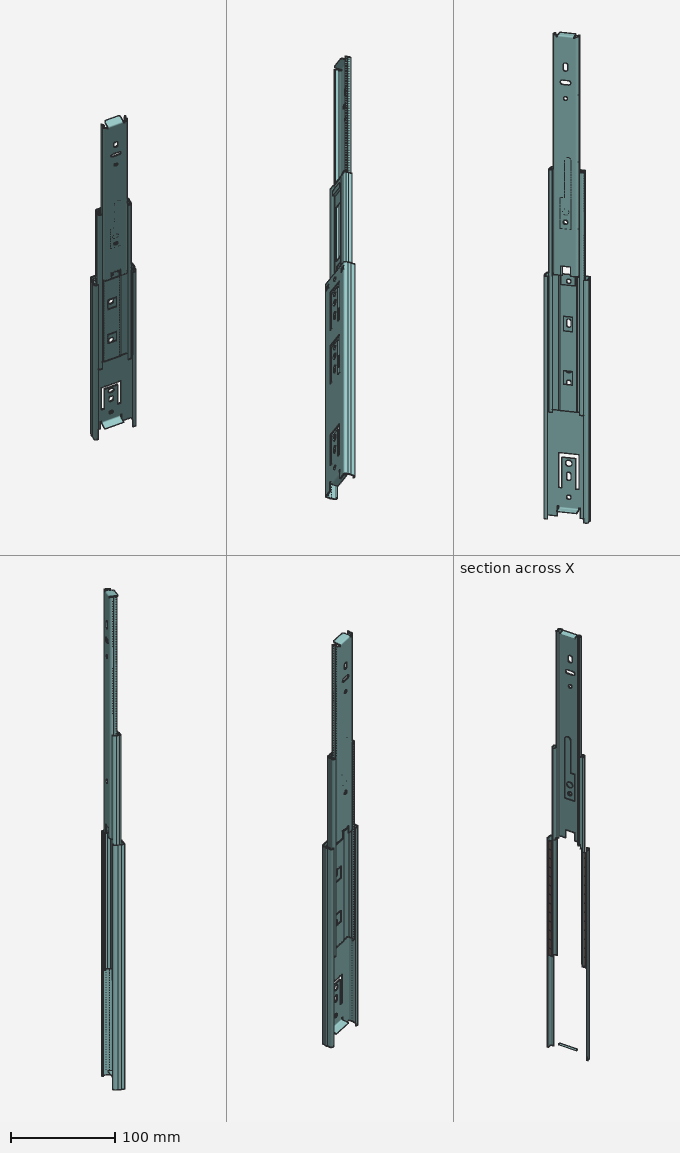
import cadquery as cq


total_height = 500.0
rail_length = 250.0
middle_top = 360.0
middle_bottom = middle_top - rail_length
inner_bottom = 253.0
total_depth = 12.5
total_width = 45.5

outer_wall = 1.2
outer_depth = 12.0
outer_bend = 1.5
outer_bulge = 0.5
outer_race_start = 4.0
outer_race_end = 7.0
outer_lip = 3.0
slot_outer_width = 20.5
slot_inner_width = 14.0
slot_head = 4.5
long_slot = 45.0
short_slot = 36.0
upper_slot_top = 234.0
middle_slot_top = 171.0
lower_slot_top = 65.5
long_screw_drop = 9.0
long_key_drop = 19.0
long_oblong_drop = 34.0
short_key_drop = 10.0
short_oblong_drop = 23.5
screw_hole = 4.5
key_hole = 6.5
oblong_width = 4.5
oblong_height = 8.5
end_hole_heights = (243.0, 20.5)
lance_width = 6.0
lance_height = 4.0
lance_offset = 17.0
lance_z = 244.0
notch_width = 23.0
notch_height = 10.5
stop_width = 20.0
stop_reach = 8.0
stop_bend = 2.0

middle_wall = 1.0
middle_back = 2.5
middle_front = 11.0
middle_lip = 3.0
middle_half_width = 17.5
middle_bend = 1.25
middle_race_start = 4.5
middle_race_end = 7.0
middle_groove = 0.5
band_half_width = 8.25
band_ramp = 1.0
band_offset = 0.5
window_width = 14.5
window_top = 346.5
window_bottom = 240.0
middle_holes = ((200.0, 15.0), (144.5, 14.0))
middle_hole_width = 9.0
bridge_width = 15.0
bridge_height = 6.0
bridge_rise = 1.0

inner_wall = 1.2
inner_back = 5.5
inner_half_width = 13.0
inner_bend = 2.25
inner_race_start = 9.5
inner_race_end = 7.0
inner_groove = 1.25
inner_notch_width = 10.0
inner_notch_top = 262.5
cap_width = 16.5
cap_back = 3.0
cap_bend = 1.0
cap_relief = 1.0
cap_chamfer = 1.5
oblong_z = 468.0
cross_oblong_z = 452.0
cross_oblong_width = 10.5
inner_hole_z = 435.5
inner_hole = 4.0
lower_hole_z = 308.0

cage_wall = 0.75
cage_back = 4.5
cage_front = 9.5
cage_half_width = 14.75
cage_recess = 0.5
cage_bottom = rail_length
cage_top = middle_top - cage_recess
cage_window_width = 13.0
cage_window_bottom = 269.5
cage_window_top = 333.0
tongue_width = 16.0
tongue_top = 363.0

strip_back = 4.0
strip_front = 7.0
strip_inside = 18.0
strip_outside = 20.5
strip_top = 247.5

lever_wall = 1.0
lever_width = 11.0
lever_bottom = 301.0
lever_shoulder = 333.0
lever_top = 375.0
arm_width = 6.5
arm_offset = 2.25
pivot_hole = 6.5
pivot_z = 318.5


def box(x_range, y_range, z_range):
    """Box between the given limits."""
    size = [high - low for low, high in (x_range, y_range, z_range)]
    corner = (x_range[0], y_range[0], z_range[0])
    return cq.Workplane("XY").box(*size, centered=False).translate(corner)


def centred_box(x_range, width, z_range):
    """Box that is symmetric about Y = 0."""
    return box(x_range, (-width / 2, width / 2), z_range)


def rolled_rail(web, flange, wall, free_x, bend, race, bottom, top, lip=0, band=None):
    """Roll-formed channel along Z, symmetric about Y = 0.

    web and flange are the sheet's middle planes in X and Y, and bend the radius between them.
    The flange runs to the plane x = free_x, where a lip may turn inward. race gives the X at
    which the ball race begins and ends, and how far it bulges outward. band gives the half
    width, ramp width and X offset of a raised band along the middle of the web.
    """
    toward = 1 if free_x > web else -1
    race_start, race_end, bulge = race
    path = cq.Workplane("XY").workplane(offset=bottom)
    if band:
        band_half, ramp, offset = band
        path = path.moveTo(web + offset, 0).lineTo(web + offset, band_half).lineTo(web, band_half + ramp)
    else:
        path = path.moveTo(web, 0)
    path = (
        path.lineTo(web, flange - bend)
        .radiusArc((web + toward * bend, flange), toward * bend)
        .lineTo(race_start, flange)
        .threePointArc(((race_start + race_end) / 2, flange + bulge), (race_end, flange))
    )
    if lip:
        path = (
            path.lineTo(free_x - toward * bend, flange)
            .radiusArc((free_x, flange - bend), toward * bend)
            .lineTo(free_x, flange - lip)
        )
    else:
        path = path.lineTo(free_x, flange)
    half_rail = path.offset2D(wall / 2).extrude(top - bottom)
    return half_rail.union(half_rail.mirror("XZ"))


def round_hole(diameter, z):
    """Round cutter along X through the whole depth."""
    return cq.Workplane("YZ").center(0, z).circle(diameter / 2).extrude(total_depth)


def oblong_hole(length, width, z, angle=0):
    """Round-ended cutter along X, turned by angle from lying along Y."""
    return cq.Workplane("YZ").center(0, z).slot2D(length, width, angle).extrude(total_depth)


def upright_hole(z):
    """Oblong cutter that stands along Z."""
    return oblong_hole(oblong_height, oblong_width, z, angle=90)


def u_slot(top, length):
    """U-shaped cutter that leaves a tongue hanging from its lower end."""
    through = (0, outer_wall)
    frame = centred_box(through, slot_outer_width, (top - length, top))
    tongue = centred_box(through, slot_inner_width, (top - length, top - slot_head))
    return frame.cut(tongue)


def make_outer_rail():
    half = outer_wall / 2
    rail = rolled_rail(
        web=half,
        flange=total_width / 2 - half - outer_bulge,
        wall=outer_wall,
        free_x=outer_depth - half,
        bend=outer_bend,
        race=(outer_race_start, outer_race_end, outer_bulge),
        bottom=0,
        top=rail_length,
        lip=outer_lip,
    )

    for top in (upper_slot_top, middle_slot_top):
        rail = rail.cut(u_slot(top, long_slot))
        rail = rail.cut(round_hole(screw_hole, top - long_screw_drop))
        rail = rail.cut(round_hole(key_hole, top - long_key_drop))
        rail = rail.cut(upright_hole(top - long_oblong_drop))
    rail = rail.cut(u_slot(lower_slot_top, short_slot))
    rail = rail.cut(round_hole(key_hole, lower_slot_top - short_key_drop))
    rail = rail.cut(upright_hole(lower_slot_top - short_oblong_drop))

    for z in end_hole_heights:
        rail = rail.cut(round_hole(screw_hole, z))

    for side in (-1, 1):
        centre = side * lance_offset
        rail = rail.cut(box(
            (0, outer_wall),
            (centre - lance_width / 2, centre + lance_width / 2),
            (lance_z - lance_height / 2, lance_z + lance_height / 2),
        ))

    rail = rail.cut(centred_box((0, outer_wall), notch_width, (0, notch_height)))
    stop_z = notch_height - stop_bend - half
    stop = (
        cq.Workplane("XZ")
        .moveTo(half, notch_height + half)
        .lineTo(half, stop_z + stop_bend)
        .radiusArc((half + stop_bend, stop_z), -stop_bend)
        .lineTo(stop_reach, stop_z)
        .offset2D(half)
        .extrude(stop_width / 2, both=True)
    )
    return rail.union(stop)


def make_middle_rail():
    half = middle_wall / 2
    rail = rolled_rail(
        web=middle_back + half,
        flange=middle_half_width - half,
        wall=middle_wall,
        free_x=middle_front - half,
        bend=middle_bend,
        race=(middle_race_start, middle_race_end, -middle_groove),
        bottom=middle_bottom,
        top=middle_top,
        lip=middle_lip,
        band=(band_half_width, band_ramp, band_offset),
    )
    web = (middle_back, middle_back + band_offset + middle_wall)
    rail = rail.cut(centred_box(web, window_width, (window_bottom, window_top)))
    for z, height in middle_holes:
        rail = rail.cut(centred_box(web, middle_hole_width, (z - height / 2, z + height / 2)))
    bridge = centred_box(
        (middle_back - bridge_rise, middle_back + band_offset),
        bridge_width,
        (window_top, window_top + bridge_height),
    )
    return rail.union(bridge)


def make_inner_rail():
    half = inner_wall / 2
    web_x = total_depth - half
    rail = rolled_rail(
        web=web_x,
        flange=inner_half_width - half,
        wall=inner_wall,
        free_x=inner_back + half,
        bend=inner_bend,
        race=(inner_race_start, inner_race_end, -inner_groove),
        bottom=inner_bottom,
        top=total_height,
    )

    web = (total_depth - inner_wall, total_depth)
    bend_start = total_height - half - cap_bend
    rail = rail.cut(centred_box(web, cap_width + 2 * cap_relief, (bend_start, total_height)))
    cap = (
        cq.Workplane("XZ")
        .moveTo(web_x, bend_start - half)
        .lineTo(web_x, bend_start)
        .radiusArc((web_x - cap_bend, total_height - half), -cap_bend)
        .lineTo(cap_back + half, total_height - half)
        .offset2D(half)
        .extrude(cap_width / 2, both=True)
    )
    for side in (-1, 1):
        edge_y = side * cap_width / 2
        corner = (
            cq.Workplane("XY")
            .workplane(offset=total_height - inner_wall)
            .polyline([
                (cap_back, edge_y),
                (cap_back + cap_chamfer, edge_y),
                (cap_back, edge_y - side * cap_chamfer),
            ])
            .close()
            .extrude(inner_wall)
        )
        cap = cap.cut(corner)
    rail = rail.union(cap)

    rail = rail.cut(centred_box(web, inner_notch_width, (inner_bottom, inner_notch_top)))
    rail = rail.cut(upright_hole(oblong_z))
    rail = rail.cut(oblong_hole(cross_oblong_width, oblong_width, cross_oblong_z))
    rail = rail.cut(round_hole(inner_hole, inner_hole_z))
    return rail.cut(round_hole(screw_hole, lower_hole_z))


def make_inner_cage():
    depth = (cage_back, cage_front)
    length = (cage_bottom, cage_top)
    cage = centred_box(depth, 2 * cage_half_width, length)
    hollow = (cage_back + cage_wall, cage_front)
    cage = cage.cut(centred_box(hollow, 2 * (cage_half_width - cage_wall), length))
    plate = (cage_back, cage_back + cage_wall)
    cage = cage.cut(centred_box(plate, cage_window_width, (cage_window_bottom, cage_window_top)))
    cage = cage.cut(centred_box(plate, inner_notch_width, (cage_bottom, inner_notch_top)))
    return cage.union(centred_box(plate, tongue_width, (cage_window_top, tongue_top)))


def make_outer_cage(side):
    """Ball strip between the outer and middle flanges; side is +1 or -1 in Y."""
    limits = sorted((side * strip_inside, side * strip_outside))
    return box((strip_back, strip_front), limits, (middle_bottom, strip_top))


def make_lever():
    front = total_depth - inner_wall
    thickness = (front - lever_wall, front)
    plate = centred_box(thickness, lever_width, (lever_bottom, lever_shoulder))
    arm_length = lever_top - lever_bottom
    arm = (
        cq.Workplane("YZ", origin=(thickness[0], 0, 0))
        .center(arm_offset, lever_bottom + arm_length / 2)
        .slot2D(arm_length, arm_width, 90)
        .extrude(lever_wall)
    )
    lever = plate.union(arm)
    return lever.cut(round_hole(pivot_hole, pivot_z)).cut(round_hole(screw_hole, lower_hole_z))


outer_rail = make_outer_rail()
middle_rail = make_middle_rail()
inner_rail = make_inner_rail()
inner_cage = make_inner_cage()
outer_cages = [make_outer_cage(side) for side in (-1, 1)]
lever = make_lever()

result = cq.Compound.makeCompound([
    outer_rail.val(),
    middle_rail.val(),
    inner_rail.val(),
    inner_cage.val(),
    *[cage.val() for cage in outer_cages],
    lever.val(),
])